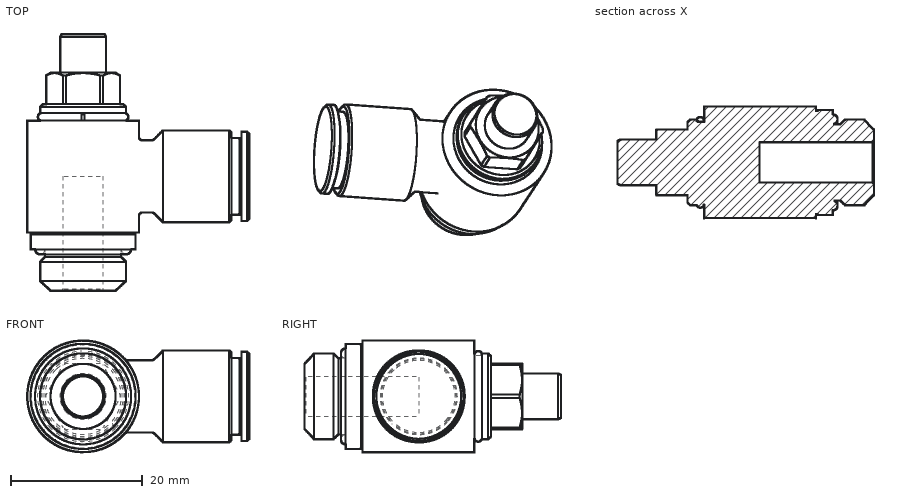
import cadquery as cq
import math


OVERALL_LENGTH = 39.01

BODY_RADIUS = 8.5
BODY_LENGTH = 17.0
BODY_TOP = 8.45
BODY_BOTTOM = BODY_TOP - BODY_LENGTH

SEAL_WIRE_RADIUS = 0.575
SEAL_OUTER_RADIUS = 6.9
SEAL_GAP_WIDTH = 0.48
SEAL_GAP_FLOOR = 6.2
SEAL_GAP_FLOOR_LENGTH = 0.95
COLLAR_RADIUS = 6.55
COLLAR_CHAMFER = 0.45
COLLAR_BOTTOM = BODY_TOP + 2 * SEAL_WIRE_RADIUS
COLLAR_LENGTH = 1.38
COLLAR_TOP = COLLAR_BOTTOM + COLLAR_LENGTH
HEX_FLATS = 10.0
HEX_CORNER_RADIUS = 5.63
HEX_HEIGHT = 4.77
HEX_TOP = COLLAR_TOP + HEX_HEIGHT
HEX_TOP_RADIUS = 4.9
HEX_CHAMFER_ANGLE = 30.0
KNOB_RADIUS = 3.5
KNOB_CHAMFER_LENGTH = 0.45
KNOB_CHAMFER_DEPTH = 0.25
KNOB_LENGTH = 5.88
KNOB_TOP = HEX_TOP + KNOB_LENGTH

STEP_RADIUS = 7.85
STEP_LENGTH = 0.25
FLANGE_RADIUS = 8.0
FLANGE_LENGTH = 2.3
FLANGE_TOP = BODY_BOTTOM - STEP_LENGTH
FLANGE_BOTTOM = FLANGE_TOP - FLANGE_LENGTH
RELIEF_RADIUS = 5.8
O_RING_WIRE_RADIUS = 0.75
THREAD_RADIUS = 6.55
THREAD_BOTTOM = KNOB_TOP - OVERALL_LENGTH
THREAD_TIP_LENGTH = 1.5
THREAD_TIP_RADIUS = 4.95
THREAD_LENGTH = 2.9
THREAD_TOP = THREAD_BOTTOM + THREAD_TIP_LENGTH + THREAD_LENGTH
BORE_RADIUS = 3.05
BORE_MOUTH_RADIUS = 3.3

NECK_RADIUS = 5.5
NECK_FILLET = 0.5
SOCKET_RADIUS = 7.0
SOCKET_START = 12.15
SOCKET_END = 22.55
SOCKET_CHAMFER = 0.35
SLEEVE_RADIUS = 5.85
SLEEVE_GROOVE_RADIUS = 5.7
SLEEVE_GROOVE_WIDTH = 0.3
RELEASE_RADIUS = 6.8
RELEASE_START = 24.05
RELEASE_END = 25.25
RELEASE_CHAMFER = 0.35


def turned_stem(outline):
    """Solid of revolution about Y from (radius, station) points that start and end on the axis."""
    return cq.Workplane("XY").polyline(outline).close().revolve(360, (0, 0, 0), (0, 1, 0))


def body():
    return turned_stem([
        (0, BODY_BOTTOM),
        (BODY_RADIUS, BODY_BOTTOM),
        (BODY_RADIUS, BODY_TOP),
        (0, BODY_TOP),
    ])


def branch():
    cone_start = SOCKET_START - (SOCKET_RADIUS - NECK_RADIUS)
    groove_start = RELEASE_START - SLEEVE_GROOVE_WIDTH
    outline = [
        (0, 0),
        (0, NECK_RADIUS),
        (cone_start, NECK_RADIUS),
        (SOCKET_START, SOCKET_RADIUS),
        (SOCKET_END - SOCKET_CHAMFER, SOCKET_RADIUS),
        (SOCKET_END, SOCKET_RADIUS - SOCKET_CHAMFER),
        (SOCKET_END, SLEEVE_RADIUS),
        (groove_start, SLEEVE_RADIUS),
        (groove_start, SLEEVE_GROOVE_RADIUS),
        (RELEASE_START, SLEEVE_GROOVE_RADIUS),
        (RELEASE_START, RELEASE_RADIUS),
        (RELEASE_END - RELEASE_CHAMFER, RELEASE_RADIUS),
        (RELEASE_END, RELEASE_RADIUS - RELEASE_CHAMFER),
        (RELEASE_END, 0),
    ]
    turned = cq.Workplane("XY").polyline(outline).close().revolve(360, (0, 0, 0), (1, 0, 0))
    cone_edge = cq.selectors.BoxSelector(
        (cone_start - NECK_FILLET, -SOCKET_RADIUS, -SOCKET_RADIUS),
        (cone_start + NECK_FILLET, SOCKET_RADIUS, SOCKET_RADIUS),
        boundingbox=True,
    )
    return turned.edges(cone_edge).fillet(NECK_FILLET)


def body_with_branch():
    """Body and branch joined, with the saddle-shaped seam between them filleted."""
    joined = body().union(branch())
    seam = cq.selectors.BoxSelector(
        (math.sqrt(BODY_RADIUS**2 - NECK_RADIUS**2) - NECK_FILLET, -NECK_RADIUS - NECK_FILLET, -BODY_RADIUS),
        (BODY_RADIUS + NECK_FILLET, NECK_RADIUS + NECK_FILLET, BODY_RADIUS),
        boundingbox=True,
    )
    return joined.edges(seam).fillet(NECK_FILLET)


def seal_gap(floor, length):
    """Block filling the split of the seal ring, from a floor height in Z up past the ring."""
    depth = SEAL_OUTER_RADIUS - floor
    return (
        cq.Workplane("XY", origin=(0, BODY_TOP + length / 2, floor))
        .rect(SEAL_GAP_WIDTH, length)
        .extrude(depth)
    )


def collar():
    """Collar over a split seal ring; the split faces +Z and ends in a small flat on the core."""
    core_radius = SEAL_OUTER_RADIUS - SEAL_WIRE_RADIUS
    seal_length = COLLAR_BOTTOM - BODY_TOP
    collar_core = turned_stem([
        (0, BODY_TOP),
        (core_radius, BODY_TOP),
        (core_radius, COLLAR_BOTTOM),
        (COLLAR_RADIUS, COLLAR_BOTTOM),
        (COLLAR_RADIUS, COLLAR_TOP - COLLAR_CHAMFER),
        (COLLAR_RADIUS - COLLAR_CHAMFER, COLLAR_TOP),
        (0, COLLAR_TOP),
    ])
    seal_ring = (
        cq.Workplane("XY")
        .moveTo(0, BODY_TOP)
        .lineTo(core_radius, BODY_TOP)
        .threePointArc((SEAL_OUTER_RADIUS, BODY_TOP + SEAL_WIRE_RADIUS), (core_radius, COLLAR_BOTTOM))
        .lineTo(0, COLLAR_BOTTOM)
        .close()
        .revolve(360, (0, 0, 0), (0, 1, 0))
    )
    split_ring = seal_ring.cut(seal_gap(SEAL_GAP_FLOOR, seal_length))
    return split_ring.union(collar_core).cut(seal_gap(SEAL_GAP_FLOOR, SEAL_GAP_FLOOR_LENGTH))


def hexagon():
    """Hexagon with flats facing +Z and -Z, its corners turned down and its top edge chamfered."""
    across_corners = HEX_FLATS / math.cos(math.pi / 6)
    prism = (
        cq.Workplane("XZ", origin=(0, COLLAR_TOP, 0))
        .polygon(6, across_corners)
        .extrude(-HEX_HEIGHT)
    )
    chamfer_height = (HEX_CORNER_RADIUS - HEX_TOP_RADIUS) * math.tan(math.radians(HEX_CHAMFER_ANGLE))
    envelope = turned_stem([
        (0, COLLAR_TOP),
        (HEX_CORNER_RADIUS, COLLAR_TOP),
        (HEX_CORNER_RADIUS, HEX_TOP - chamfer_height),
        (HEX_TOP_RADIUS, HEX_TOP),
        (0, HEX_TOP),
    ])
    return prism.intersect(envelope)


def knob():
    return turned_stem([
        (0, HEX_TOP),
        (KNOB_RADIUS, HEX_TOP),
        (KNOB_RADIUS, KNOB_TOP - KNOB_CHAMFER_LENGTH),
        (KNOB_RADIUS - KNOB_CHAMFER_DEPTH, KNOB_TOP),
        (0, KNOB_TOP),
    ])


def threaded_end():
    o_ring_radius = RELIEF_RADIUS + O_RING_WIRE_RADIUS
    relief_bottom = THREAD_TOP + (THREAD_RADIUS - RELIEF_RADIUS)
    outline = (
        cq.Workplane("XY")
        .moveTo(0, BODY_BOTTOM)
        .lineTo(STEP_RADIUS, BODY_BOTTOM)
        .lineTo(STEP_RADIUS, FLANGE_TOP)
        .lineTo(FLANGE_RADIUS, FLANGE_TOP)
        .lineTo(FLANGE_RADIUS, FLANGE_BOTTOM)
        .lineTo(o_ring_radius + O_RING_WIRE_RADIUS, FLANGE_BOTTOM)
        .threePointArc(
            (o_ring_radius, FLANGE_BOTTOM - O_RING_WIRE_RADIUS),
            (RELIEF_RADIUS, FLANGE_BOTTOM),
        )
        .lineTo(RELIEF_RADIUS, relief_bottom)
        .lineTo(THREAD_RADIUS, THREAD_TOP)
        .lineTo(THREAD_RADIUS, THREAD_BOTTOM + THREAD_TIP_LENGTH)
        .lineTo(THREAD_TIP_RADIUS, THREAD_BOTTOM)
        .lineTo(0, THREAD_BOTTOM)
        .close()
    )
    return outline.revolve(360, (0, 0, 0), (0, 1, 0))


def bore():
    """Blind bore from the threaded end to the branch axis, with a chamfered mouth."""
    return turned_stem([
        (0, THREAD_BOTTOM),
        (BORE_MOUTH_RADIUS, THREAD_BOTTOM),
        (BORE_RADIUS, THREAD_BOTTOM + BORE_MOUTH_RADIUS - BORE_RADIUS),
        (BORE_RADIUS, 0),
        (0, 0),
    ])


result = (
    body_with_branch()
    .union(collar())
    .union(hexagon())
    .union(knob())
    .union(threaded_end())
    .cut(bore())
)